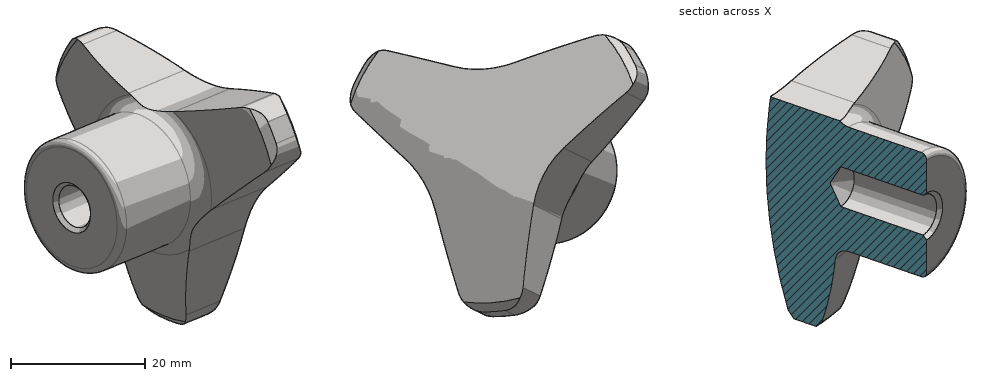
import cadquery as cq
import math

ARM_COUNT = 3
HEIGHT = 30.0

HUB_RADIUS = 10.5
HUB_EDGE_RADIUS = 1.0
HUB_STRAIGHT_END = 14.58
NECK_RADIUS = 2.45
NECK_OUTER_RADIUS = 12.5

TIP_RADIUS = 25.0
TIP_CHAMFER = 1.15
RIM_OVERSIZE = 0.45
TIP_UNDERSIDE = 19.5
UNDERSIDE_MID = (18.05, 17.85)
DOME_RADIUS = 70.8

VALLEY_DISTANCE = 11.05
VALLEY_RADIUS = 16.0
FLANK_TAPER = math.radians(12.5)
TIP_CORNER_RADIUS = 3.8

BORE_RADIUS = 6.63 / 2
BORE_DEPTH = 16.0
MOUTH_CHAMFER = 0.65
DRILL_POINT_ANGLE = math.radians(118)


def polar(radius, angle):
    return radius * math.cos(angle), radius * math.sin(angle)


def turned_body():
    """Hub and dome as one revolved profile, drawn as (radius, height)."""
    neck_rise = math.sqrt(NECK_RADIUS**2 - (HUB_RADIUS + NECK_RADIUS - NECK_OUTER_RADIUS) ** 2)
    neck_end = (NECK_OUTER_RADIUS, HUB_STRAIGHT_END + neck_rise)
    neck_angle = (math.pi + math.atan2(neck_rise, NECK_OUTER_RADIUS - HUB_RADIUS - NECK_RADIUS)) / 2
    neck_x, neck_y = polar(NECK_RADIUS, neck_angle)
    neck_mid = (HUB_RADIUS + NECK_RADIUS + neck_x, HUB_STRAIGHT_END + neck_y)

    def dome_height(radius):
        return HEIGHT - DOME_RADIUS + math.sqrt(DOME_RADIUS**2 - radius**2)

    rim_radius = TIP_RADIUS - TIP_CHAMFER
    rim_height = dome_height(rim_radius)
    cone_width = TIP_CHAMFER + RIM_OVERSIZE
    corner = HUB_EDGE_RADIUS * (1 - math.sqrt(0.5))
    return (
        cq.Workplane("XY")
        .lineTo(HUB_RADIUS - HUB_EDGE_RADIUS, 0)
        .threePointArc((HUB_RADIUS - corner, corner), (HUB_RADIUS, HUB_EDGE_RADIUS))
        .lineTo(HUB_RADIUS, HUB_STRAIGHT_END)
        .threePointArc(neck_mid, neck_end)
        .threePointArc(UNDERSIDE_MID, (rim_radius, TIP_UNDERSIDE))
        .lineTo(rim_radius + cone_width, TIP_UNDERSIDE + cone_width)
        .lineTo(rim_radius + cone_width, rim_height - cone_width)
        .lineTo(rim_radius, rim_height)
        .threePointArc((rim_radius / 2, dome_height(rim_radius / 2)), (0, HEIGHT))
        .close()
        .revolve(360, (0, 0, 0), (0, 1, 0))
    )


def star_prism():
    """Prism reaching past both ends of the body, with the three-armed outline."""
    pitch = 2 * math.pi / ARM_COUNT
    valley_center = VALLEY_DISTANCE + VALLEY_RADIUS

    valley_along, valley_across = polar(valley_center, pitch / 2)
    flank_normal = (math.sin(FLANK_TAPER), math.cos(FLANK_TAPER))
    root = (
        valley_along - VALLEY_RADIUS * flank_normal[0],
        valley_across - VALLEY_RADIUS * flank_normal[1],
    )

    corner_offset = root[0] * flank_normal[0] + root[1] * flank_normal[1] - TIP_CORNER_RADIUS
    corner_distance = TIP_RADIUS - TIP_CORNER_RADIUS
    tip_angle = math.pi / 2 - FLANK_TAPER - math.acos(corner_offset / corner_distance)
    corner_center = polar(corner_distance, tip_angle)

    def corner_point(angle):
        along, across = polar(TIP_CORNER_RADIUS, angle)
        return corner_center[0] + along, corner_center[1] + across

    flank_angle = math.pi / 2 - FLANK_TAPER
    shoulder = corner_point(flank_angle)
    corner_mid = corner_point((flank_angle + tip_angle) / 2)
    tip_edge = corner_point(tip_angle)

    def place(point, arm_angle, side):
        """Turn a half-arm point to its arm; side -1 mirrors it across the arm axis."""
        along, across = point
        return polar(math.hypot(along, across), arm_angle + side * math.atan2(across, along))

    first_angle = -math.pi / 2
    outline = cq.Workplane("XZ").moveTo(*place(root, first_angle, -1))
    for index in range(ARM_COUNT):
        arm_angle = first_angle + index * pitch
        outline = (
            outline.lineTo(*place(shoulder, arm_angle, -1))
            .threePointArc(place(corner_mid, arm_angle, -1), place(tip_edge, arm_angle, -1))
            .threePointArc(polar(TIP_RADIUS, arm_angle), place(tip_edge, arm_angle, 1))
            .threePointArc(place(corner_mid, arm_angle, 1), place(shoulder, arm_angle, 1))
            .lineTo(*place(root, arm_angle, 1))
            .threePointArc(
                polar(VALLEY_DISTANCE, arm_angle + pitch / 2),
                place(root, arm_angle + pitch, -1),
            )
        )
    return outline.close().extrude(2 * HEIGHT, both=True)


def bore():
    point_depth = BORE_RADIUS / math.tan(DRILL_POINT_ANGLE / 2)
    return (
        cq.Workplane("XY")
        .lineTo(BORE_RADIUS + MOUTH_CHAMFER, 0)
        .lineTo(BORE_RADIUS, MOUTH_CHAMFER)
        .lineTo(BORE_RADIUS, BORE_DEPTH)
        .lineTo(0, BORE_DEPTH + point_depth)
        .close()
        .revolve(360, (0, 0, 0), (0, 1, 0))
    )


result = turned_body().intersect(star_prism()).cut(bore())